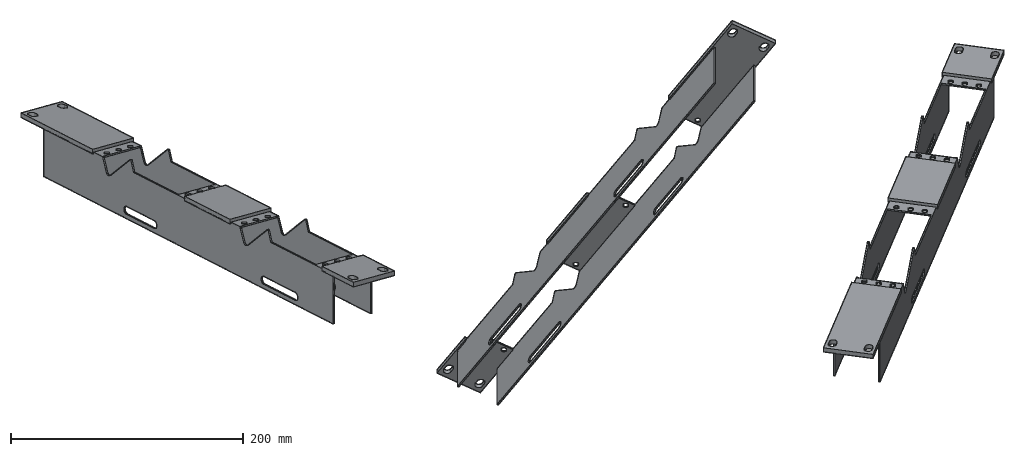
import cadquery as cq

panel_length = 483.0
panel_width = 44.0
panel_thickness = 4.5
ledge_thickness = 1.5
total_height = 56.5

wall_thickness = 1.5
wall_spread = 41.5
wall_start = -210.0
wall_end = 210.0
hook_height = 10.0
wall_top = total_height - hook_height
panel_bottom = wall_top - ledge_thickness
inner_spread = wall_spread - 2 * wall_thickness

bay_pitch = 199.5
first_bay = -70.5
bay_centers = (first_bay, first_bay + bay_pitch)
bay_length = 134.0
opening_length = 109.0

screw_diameter = 5.0
screw_span = 118.0
screw_pitch = 12.5
screws_per_ledge = 3

mount_span = 465.0
mount_pitch = 32.0
mount_length = 10.0
mount_width = 7.0

notch_start = -54.0
notch_bottom = -47.0
notch_depth = 17.0
notch_radius = 3.5
tip_start = -14.5
tip_end = -13.0
hook_end = -9.0

wall_slot_width = 7.2
wall_slot_height = 7.5
wall_slot_offset = -23.0
wall_slot_lengths = (48.0, 53.0)


def panel():
    """Flat panel with the bays stepped down to ledges flush with the wall tops."""
    body = cq.Workplane("XY").box(panel_length, panel_width, panel_thickness, centered=(True, True, False))
    body = body.translate((0, 0, panel_bottom))
    bays = cq.Workplane("XY").workplane(offset=panel_bottom).pushPoints([(x, 0) for x in bay_centers])
    body = body.cut(bays.rect(bay_length, panel_width).extrude(panel_thickness))
    ledges = bays.rect(bay_length, wall_spread).extrude(ledge_thickness)
    openings = bays.rect(opening_length, wall_spread).extrude(ledge_thickness)
    return body.union(ledges.cut(openings))


def panel_holes():
    """Screw holes through the ledges and mounting slots through the panel ends."""
    base = cq.Workplane("XY").workplane(offset=panel_bottom)
    holes = base.rarray(mount_span, mount_pitch, 2, 2).slot2D(mount_length, mount_width).extrude(panel_thickness)
    for center in bay_centers:
        screws = base.center(center, 0).rarray(screw_span, screw_pitch, 2, screws_per_ledge)
        holes = holes.union(screws.circle(screw_diameter / 2).extrude(panel_thickness))
    return holes


def side_walls():
    """Both walls, each with a notch, a hook and a long slot per bay."""
    outline = [(wall_start, 0), (wall_start, wall_top)]
    for center in bay_centers:
        outline += [
            (center + notch_start, wall_top),
            (center + notch_bottom, wall_top - notch_depth),
            (center + tip_start, total_height),
            (center + tip_end, total_height),
            (center + hook_end, wall_top),
        ]
    outline += [(wall_end, wall_top), (wall_end, 0)]

    profile = cq.Workplane("XZ", origin=(0, wall_spread / 2, 0))
    walls = profile.polyline(outline).close().extrude(wall_spread)
    for center in bay_centers:
        corner = (center + notch_bottom, 0, wall_top - notch_depth)
        walls = walls.edges(cq.selectors.NearestToPointSelector(corner)).fillet(notch_radius)
    for center, length in zip(bay_centers, wall_slot_lengths):
        middle = center + wall_slot_offset + length / 2
        slot = profile.center(middle, wall_slot_height).slot2D(length, wall_slot_width)
        walls = walls.cut(slot.extrude(wall_spread))

    gap = cq.Workplane("XY").box(panel_length, inner_spread, total_height, centered=(True, True, False))
    return walls.cut(gap)


result = panel().union(side_walls()).cut(panel_holes())